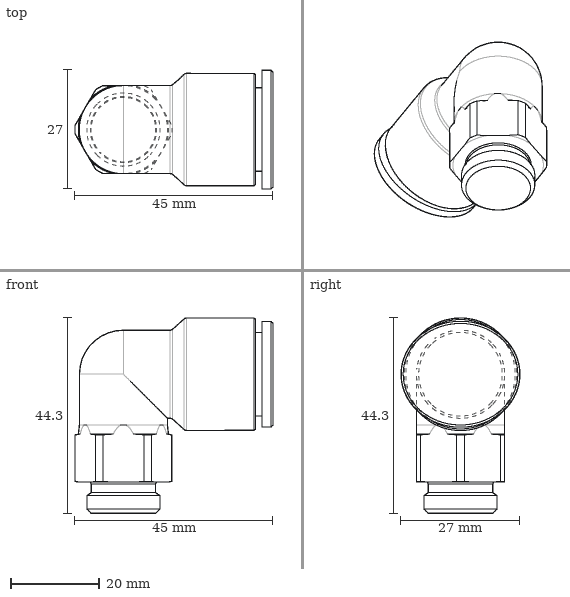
import cadquery as cq
import math


BODY_RADIUS = 20.0 / 2
COLLAR_RADIUS = 25.55 / 2

SHOULDER_START = 10.95
SHOULDER_END = 14.0
SHOULDER_FILLET = 0.9
COLLAR_END = 30.0
COLLAR_CHAMFER = 0.35

RING_NECK_RADIUS = 19.0 / 2
FLANGE_WIDTH = 27.0
FLANGE_HEIGHT = 24.02
FLANGE_THICKNESS = 2.55
FLANGE_CHAMFER = 0.5
PORT_FACE = 33.95

HEX_SIDES = 6
HEX_ACROSS_FLATS = 19.98
HEX_CORNER_RADIUS = 22.05 / 2
HEX_BOTTOM = -24.47
HEX_HEIGHT = 10.9
HEX_BEVEL_RADIUS = 10.25
HEX_BEVEL_HEIGHT = 0.2
FLARE_HEIGHT = 2.02
HEX_TOP = HEX_BOTTOM + HEX_HEIGHT
FLARE_TOP = HEX_TOP + FLARE_HEIGHT

STEM_BOTTOM = -31.55
STEM_RADIUS = 16.65 / 2
STEM_CHAMFER = 1.0
STEM_BAND_HEIGHT = 4.0
GROOVE_RADIUS = 14.65 / 2
GROOVE_LOWER_TAPER = 0.67
GROOVE_UPPER_TAPER = 0.45
GROOVE_UPPER_FLARE = 0.2


def revolve_about_z(points):
    """Revolve a closed (radius, z) outline about the Z axis."""
    return cq.Workplane("XZ").polyline(points).close().revolve(360, (0, 0), (0, 1))


def revolve_about_x(points):
    """Revolve a closed (x, radius) outline about the X axis."""
    return cq.Workplane("XZ").polyline(points).close().revolve(360, (0, 0), (1, 0))


def circle_at(x, radius):
    """Selector box that holds only the circular edge of this radius centred on the X axis."""
    margin = 0.05
    reach = radius + margin
    return cq.selectors.BoxSelector(
        (x - margin, -reach, -reach), (x + margin, reach, reach), boundingbox=True
    )


def make_dome():
    """Ball that closes the outer corner of the elbow."""
    return cq.Workplane("XY").sphere(BODY_RADIUS)


def make_tube_port():
    """Horizontal barrel that widens through a blended cone into the collar."""
    port = revolve_about_x([
        (0, 0),
        (0, BODY_RADIUS),
        (SHOULDER_START, BODY_RADIUS),
        (SHOULDER_END, COLLAR_RADIUS),
        (COLLAR_END, COLLAR_RADIUS),
        (COLLAR_END, 0),
    ])
    port = port.edges(circle_at(SHOULDER_START, BODY_RADIUS)).fillet(SHOULDER_FILLET)
    port = port.edges(circle_at(SHOULDER_END, COLLAR_RADIUS)).fillet(SHOULDER_FILLET)
    return port.edges(circle_at(COLLAR_END, COLLAR_RADIUS)).chamfer(COLLAR_CHAMFER)


def make_release_ring():
    """Round neck and chamfered oval flange at the mouth of the tube port."""
    flange_start = PORT_FACE - FLANGE_THICKNESS
    neck = (
        cq.Workplane("YZ", origin=(COLLAR_END, 0, 0))
        .circle(RING_NECK_RADIUS)
        .extrude(flange_start - COLLAR_END)
    )
    flange = (
        cq.Workplane("YZ", origin=(flange_start, 0, 0))
        .ellipse(FLANGE_WIDTH / 2, FLANGE_HEIGHT / 2)
        .extrude(FLANGE_THICKNESS)
        .faces(">X")
        .edges()
        .chamfer(FLANGE_CHAMFER)
    )
    return neck.union(flange)


def make_hexagon():
    """Hexagon with rounded, bevelled corners and a slight flare up to the body."""
    turned = revolve_about_z([
        (0, HEX_BOTTOM),
        (HEX_BEVEL_RADIUS, HEX_BOTTOM),
        (HEX_CORNER_RADIUS, HEX_BOTTOM + HEX_BEVEL_HEIGHT),
        (HEX_CORNER_RADIUS, HEX_TOP - HEX_BEVEL_HEIGHT),
        (HEX_BEVEL_RADIUS, HEX_TOP),
        (BODY_RADIUS, FLARE_TOP),
        (0, FLARE_TOP),
    ])
    corner_reach = HEX_ACROSS_FLATS / 2 / math.cos(math.pi / HEX_SIDES)
    corner_angles = [2 * math.pi * i / HEX_SIDES for i in range(HEX_SIDES)]
    corners = [(corner_reach * math.cos(a), corner_reach * math.sin(a)) for a in corner_angles]
    prism = (
        cq.Workplane("XY", origin=(0, 0, HEX_BOTTOM))
        .polyline(corners)
        .close()
        .extrude(FLARE_TOP - HEX_BOTTOM)
    )
    return turned.intersect(prism)


def make_barrel():
    """Vertical barrel from the elbow corner down to the top of the hexagon flare."""
    return cq.Workplane("XY").circle(BODY_RADIUS).extrude(FLARE_TOP)


def make_stem():
    """Stem below the hexagon with a relief groove and a chamfered end."""
    band_top = STEM_BOTTOM + STEM_BAND_HEIGHT
    return revolve_about_z([
        (0, STEM_BOTTOM),
        (STEM_RADIUS - STEM_CHAMFER, STEM_BOTTOM),
        (STEM_RADIUS, STEM_BOTTOM + STEM_CHAMFER),
        (STEM_RADIUS, band_top),
        (GROOVE_RADIUS, band_top + GROOVE_LOWER_TAPER),
        (GROOVE_RADIUS, HEX_BOTTOM - GROOVE_UPPER_TAPER),
        (GROOVE_RADIUS + GROOVE_UPPER_FLARE, HEX_BOTTOM),
        (0, HEX_BOTTOM),
    ])


result = (
    make_tube_port()
    .union(make_barrel())
    .union(make_dome())
    .union(make_release_ring())
    .union(make_hexagon())
    .union(make_stem())
    .solids()
)